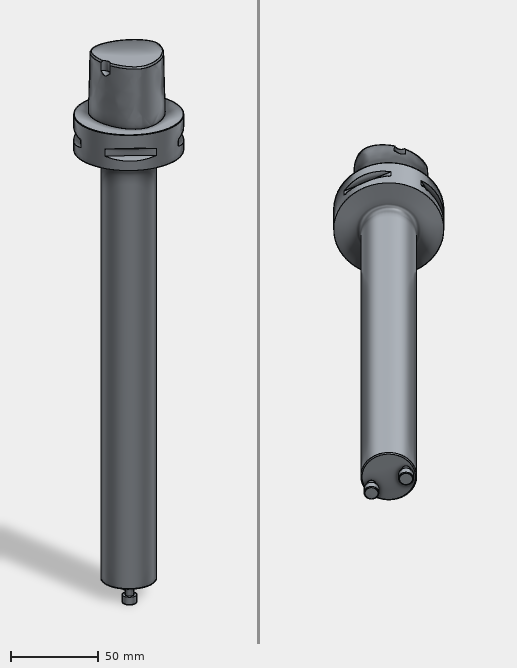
import cadquery as cq
import math

TOTAL_HEIGHT = 336.0

LOBE_DIAMETER = 44.0
LOBE_HEIGHT = 38.0
LOBE_ECCENTRICITY = 1.4
TAPER_RATIO = 1 / 20
LEAD_HEIGHT = 1.2
LEAD_WIDTH = 0.7
SECTION_POINTS = 36

KEYWAY_DIAMETER = 8.0
KEYWAY_DEPTH = 6.2
KEYWAY_TIP_ANGLE = 90.0
KEYWAY_CENTER_Y = -21.6

FLANGE_DIAMETER = 63.0
FLANGE_HEIGHT = 22.0
FLANGE_BEVEL = 0.3
NOTCH_LENGTH = 29.6
NOTCH_MID_Z = -12.2
NOTCH_BACK_HEIGHT = 4.2
NOTCH_MOUTH_HEIGHT = 8.0
NOTCH_ANGLES = (45, 135, 225, 315)

BAR_DIAMETER = 32.0
NECK_CONE_ANGLE = 14.0
NECK_FILLET = 4.3
BAR_BEVEL = 0.7

SCREW_DIAMETER = 5.0
SCREW_HEAD_DIAMETER = 8.5
SCREW_HEAD_HEIGHT = 5.0
SCREW_LENGTH = 10.0
SCREW_PITCH_RADIUS = 11.0
SCREW_HEAD_BEVEL = 0.5

LOBE_RADIUS = LOBE_DIAMETER / 2
FLANGE_RADIUS = FLANGE_DIAMETER / 2
BAR_RADIUS = BAR_DIAMETER / 2
BOTTOM_Z = LOBE_HEIGHT - TOTAL_HEIGHT
BAR_END_Z = BOTTOM_Z + SCREW_LENGTH
SCREW_OFFSET = SCREW_PITCH_RADIUS * math.sin(math.radians(45))


def lobed_wire(z, inset):
    """Closed three-lobed section of constant width, with one lobe toward +Y."""
    mean_radius = LOBE_RADIUS - TAPER_RATIO * z / 2 - inset
    points = []
    for index in range(SECTION_POINTS):
        angle = 2 * math.pi * index / SECTION_POINTS
        lobe_angle = 3 * (angle - math.pi / 2)
        reach = mean_radius + LOBE_ECCENTRICITY * math.cos(lobe_angle)
        swing = -3 * LOBE_ECCENTRICITY * math.sin(lobe_angle)
        x = reach * math.cos(angle) - swing * math.sin(angle)
        y = reach * math.sin(angle) + swing * math.cos(angle)
        points.append(cq.Vector(x, y, z))
    return cq.Wire.assembleEdges([cq.Edge.makeSpline(points, periodic=True)])


def make_lobed_shank():
    lead_z = LOBE_HEIGHT - LEAD_HEIGHT
    base = lobed_wire(0, 0)
    shoulder = lobed_wire(lead_z, 0)
    top = lobed_wire(LOBE_HEIGHT, LEAD_WIDTH)
    body = cq.Workplane(cq.Solid.makeLoft([base, shoulder], True))
    return body.union(cq.Workplane(cq.Solid.makeLoft([shoulder, top], True)))


def make_keyway_cutter():
    """Upright drill shape with a pointed tip."""
    radius = KEYWAY_DIAMETER / 2
    floor_z = LOBE_HEIGHT - KEYWAY_DEPTH
    tip_z = floor_z - radius / math.tan(math.radians(KEYWAY_TIP_ANGLE / 2))
    profile = cq.Workplane("XZ").moveTo(0, tip_z).lineTo(radius, floor_z)
    profile = profile.lineTo(radius, LOBE_HEIGHT).lineTo(0, LOBE_HEIGHT).close()
    return profile.revolve().translate((0, KEYWAY_CENTER_Y, 0))


def make_flange_and_bar():
    slope = math.radians(NECK_CONE_ANGLE)
    corner_z = -FLANGE_HEIGHT - (FLANGE_RADIUS - BAR_RADIUS) * math.tan(slope)
    tangent = NECK_FILLET * math.tan((math.pi / 2 - slope) / 2)
    cone_end = (BAR_RADIUS + tangent * math.cos(slope), corner_z + tangent * math.sin(slope))
    bar_start = (BAR_RADIUS, corner_z - tangent)
    center = (BAR_RADIUS + NECK_FILLET, corner_z - tangent)
    mid_angle = math.pi - (math.pi / 2 - slope) / 2
    middle = (
        center[0] + NECK_FILLET * math.cos(mid_angle),
        center[1] + NECK_FILLET * math.sin(mid_angle),
    )
    profile = (
        cq.Workplane("XZ")
        .moveTo(0, 0)
        .lineTo(FLANGE_RADIUS - FLANGE_BEVEL, 0)
        .lineTo(FLANGE_RADIUS, -FLANGE_BEVEL)
        .lineTo(FLANGE_RADIUS, -FLANGE_HEIGHT)
        .lineTo(*cone_end)
        .threePointArc(middle, bar_start)
        .lineTo(BAR_RADIUS, BAR_END_Z + BAR_BEVEL)
        .lineTo(BAR_RADIUS - BAR_BEVEL, BAR_END_Z)
        .lineTo(0, BAR_END_Z)
        .close()
    )
    return profile.revolve()


def make_notch_cutter(angle):
    """Straight trapezoidal groove across the flange rim, facing the given angle."""
    back_x = math.sqrt(FLANGE_RADIUS**2 - (NOTCH_LENGTH / 2) ** 2)
    back_half = NOTCH_BACK_HEIGHT / 2
    mouth_half = NOTCH_MOUTH_HEIGHT / 2
    outline = [
        (back_x, NOTCH_MID_Z - back_half),
        (FLANGE_RADIUS, NOTCH_MID_Z - mouth_half),
        (FLANGE_RADIUS, NOTCH_MID_Z + mouth_half),
        (back_x, NOTCH_MID_Z + back_half),
    ]
    groove = cq.Workplane("XZ").polyline(outline).close().extrude(NOTCH_LENGTH, both=True)
    return groove.rotate((0, 0, 0), (0, 0, 1), angle)


def make_screw(x, y):
    stem = cq.Workplane("XY", origin=(x, y, BOTTOM_Z)).circle(SCREW_DIAMETER / 2).extrude(SCREW_LENGTH)
    head = cq.Workplane("XY", origin=(x, y, BOTTOM_Z)).circle(SCREW_HEAD_DIAMETER / 2)
    head = head.extrude(SCREW_HEAD_HEIGHT).faces("<Z").chamfer(SCREW_HEAD_BEVEL)
    return stem.union(head)


lobed_shank = make_lobed_shank().cut(make_keyway_cutter())
result = make_flange_and_bar().union(lobed_shank)

for notch_angle in NOTCH_ANGLES:
    result = result.cut(make_notch_cutter(notch_angle))

for side in (-1, 1):
    result = result.union(make_screw(side * SCREW_OFFSET, -side * SCREW_OFFSET))